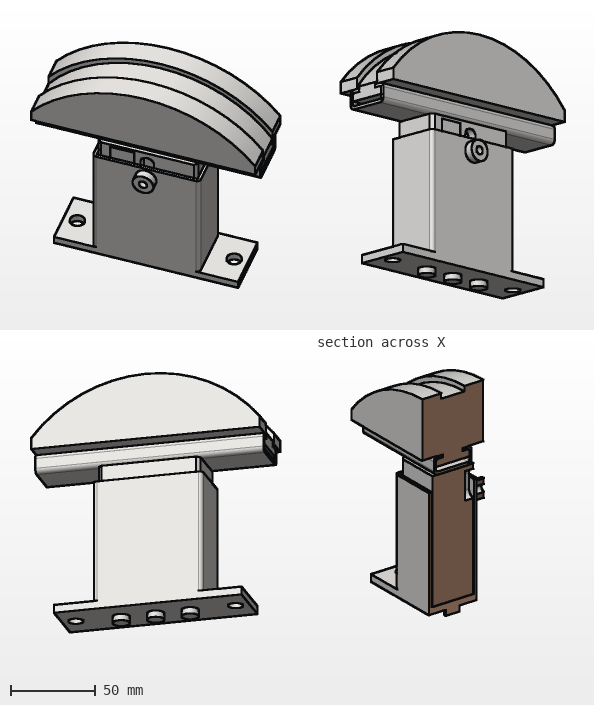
import cadquery as cq
import math

FOOT_LENGTH = 4.0
BASE_HEIGHT = 80.0
SLIDER_EXPOSED = 10.4
RAIL_HEIGHT = 12.0
SHOE_HEIGHT = 40.3
SLIDER_TOP = BASE_HEIGHT + SLIDER_EXPOSED
SHOE_BOTTOM = SLIDER_TOP + RAIL_HEIGHT

PLATE_LENGTH = 115.0
PLATE_THICKNESS = 5.0
PLATE_HOLE_DIAMETER = 9.0
PLATE_HOLE_SPACING = 98.0
TUBE_LENGTH = 67.0
TUBE_WIDTH = 35.0
TUBE_CORNER_RADIUS = 2.3
TUBE_WALL = 2.0
FOOT_DIAMETER = 10.3
FOOT_SPACING = 21.1

SLIDER_LENGTH = 62.5
SLIDER_WIDTH = 30.2
SLIDER_CHAMFER = 2.2
TRAVEL_SLOT_WIDTH = 8.5
TRAVEL_SLOT_DEPTH = 5.9
TRAVEL_SLOT_TOP_GAP = 3.8
LABEL_LENGTH = 15.0
LABEL_HEIGHT = 10.0
LABEL_CENTER_X = -15.7
LABEL_TOP_GAP = 1.9
LABEL_DEPTH = 0.1

KNOB_DIAMETER = 13.0
KNOB_BORE = 5.0
KNOB_LENGTH = 5.5
KNOB_AXIS_DROP = 8.0
KNOB_Z = BASE_HEIGHT - KNOB_AXIS_DROP

SHOE_LENGTH = 140.0
SHOE_WIDTH = 45.0
CROWN_RADIUS = 90.1
GROOVE_WIDTH = 16.9
GROOVE_DEPTH = 3.5
TONGUE_DEPTH = 7.0

RAIL_WIDTH = 28.0
RAIL_WALL = 2.0
RAIL_OUTER_RADIUS = 3.0
RAIL_INNER_RADIUS = RAIL_OUTER_RADIUS - RAIL_WALL
RAIL_MOUTH = 13.8
RAIL_INNER_WIDTH = RAIL_WIDTH - 2 * RAIL_WALL


def block(length, width, height, bottom):
    """Box centred on the Z axis with its underside at the given level."""
    return cq.Workplane("XY").box(length, width, height, (True, True, False)).translate((0, 0, bottom))


def make_base():
    plate = block(PLATE_LENGTH, TUBE_WIDTH, PLATE_THICKNESS, 0)
    tube_height = BASE_HEIGHT - PLATE_THICKNESS
    tube = block(TUBE_LENGTH, TUBE_WIDTH, tube_height, PLATE_THICKNESS)
    tube = tube.edges("|Z").fillet(TUBE_CORNER_RADIUS)
    cavity_length = TUBE_LENGTH - 2 * TUBE_WALL
    cavity_width = TUBE_WIDTH - 2 * TUBE_WALL
    cavity = block(cavity_length, cavity_width, tube_height, PLATE_THICKNESS)
    feet = cq.Workplane("XY").rarray(FOOT_SPACING, 1.5, 3, 1).circle(FOOT_DIAMETER / 2).extrude(-FOOT_LENGTH)
    plate_holes = (
        cq.Workplane("XY")
        .rarray(PLATE_HOLE_SPACING, 1.5, 2, 1)
        .circle(PLATE_HOLE_DIAMETER / 2)
        .extrude(PLATE_THICKNESS)
    )
    return plate.union(tube).union(feet).cut(cavity).cut(plate_holes)


def make_slider():
    body = block(SLIDER_LENGTH, SLIDER_WIDTH, SLIDER_TOP - PLATE_THICKNESS, PLATE_THICKNESS)
    body = body.edges("|Z").chamfer(SLIDER_CHAMFER)

    slot_end_radius = TRAVEL_SLOT_WIDTH / 2
    slot_top = SLIDER_TOP - TRAVEL_SLOT_TOP_GAP
    slot_bottom = KNOB_Z - slot_end_radius
    front = cq.Workplane("XZ", origin=(0, -SLIDER_WIDTH / 2, 0))
    travel_slot = (
        front.center(0, (slot_top + slot_bottom) / 2)
        .slot2D(slot_top - slot_bottom, TRAVEL_SLOT_WIDTH, 90)
        .extrude(-TRAVEL_SLOT_DEPTH)
    )
    label_recess = (
        front.center(LABEL_CENTER_X, SLIDER_TOP - LABEL_TOP_GAP - LABEL_HEIGHT / 2)
        .rect(LABEL_LENGTH, LABEL_HEIGHT)
        .extrude(-LABEL_DEPTH)
    )
    return body.cut(travel_slot).cut(label_recess)


def make_knob():
    return (
        cq.Workplane("XZ", origin=(0, -TUBE_WIDTH / 2, KNOB_Z))
        .circle(KNOB_DIAMETER / 2)
        .circle(KNOB_BORE / 2)
        .extrude(KNOB_LENGTH)
    )


def make_rail():
    outside = block(SHOE_LENGTH, RAIL_WIDTH, RAIL_HEIGHT, SLIDER_TOP).edges("|X").fillet(RAIL_OUTER_RADIUS)
    inner_height = RAIL_HEIGHT - 2 * RAIL_WALL
    channel = block(SHOE_LENGTH, RAIL_INNER_WIDTH, inner_height, SLIDER_TOP + RAIL_WALL)
    channel = channel.edges("|X").fillet(RAIL_INNER_RADIUS)
    mouth = block(SHOE_LENGTH, RAIL_MOUTH, RAIL_WALL, SHOE_BOTTOM - RAIL_WALL)
    return outside.cut(channel).cut(mouth)


def arched_block(crown_drop, width):
    """Block under an arc that lies the given drop below the crown and shares its centre."""
    radius = CROWN_RADIUS - crown_drop
    arc_top = SHOE_BOTTOM + SHOE_HEIGHT - crown_drop
    half_length = SHOE_LENGTH / 2
    arc_end = arc_top - radius + math.sqrt(radius**2 - half_length**2)
    return (
        cq.Workplane("XZ", origin=(0, width / 2, 0))
        .moveTo(-half_length, SHOE_BOTTOM)
        .lineTo(half_length, SHOE_BOTTOM)
        .lineTo(half_length, arc_end)
        .threePointArc((0, arc_top), (-half_length, arc_end))
        .close()
        .extrude(width)
    )


def make_shoe():
    groove = arched_block(0, GROOVE_WIDTH).cut(arched_block(GROOVE_DEPTH, GROOVE_WIDTH))
    arch = arched_block(0, SHOE_WIDTH).cut(groove)

    head_bottom = SHOE_BOTTOM - TONGUE_DEPTH
    head = block(SHOE_LENGTH, RAIL_INNER_WIDTH, TONGUE_DEPTH - RAIL_WALL, head_bottom)
    head = head.edges("|X and >Z").fillet(RAIL_INNER_RADIUS)
    neck = block(SHOE_LENGTH, RAIL_MOUTH, TONGUE_DEPTH, head_bottom)
    return arch.union(neck).union(head)


base = make_base()
slider = make_slider()
knob = make_knob()
rail = make_rail()
shoe = make_shoe()

result = cq.Compound.makeCompound([body.solids().val() for body in (base, slider, knob, rail, shoe)])